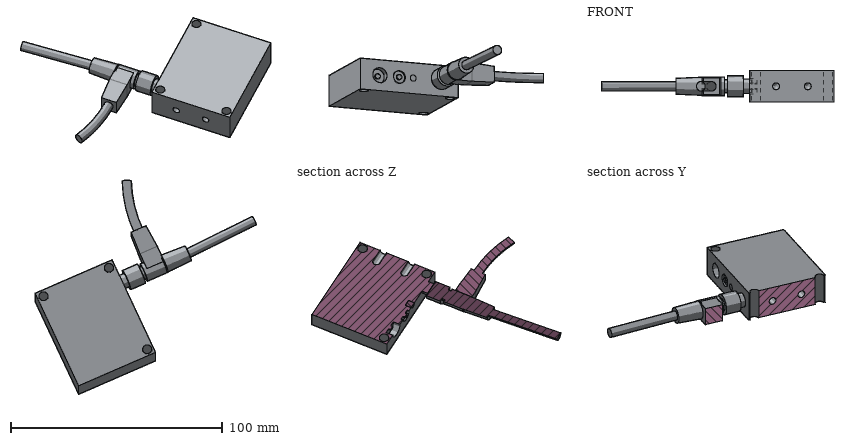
import cadquery as cq
import math


length_x = 40.0
width_y = 50.0
height_z = 15.0
mid_z = height_z / 2

mount_hole_d = 4.3
mount_hole_inset = 3.0

tapped_hole_d = 3.3
tapped_hole_depth = 8.0
tapped_hole_first_x = 12.5
tapped_hole_pitch = 15.0
tapped_hole_count = 2
drill_point_angle = 118.0

port_pin_d = 2.5
port_pin_height = 1.0
large_port_y = width_y - 10.0
large_port_d = 7.2
large_port_depth = 3.5
small_port_y = large_port_y - 10.0
small_port_d = 6.0
small_port_depth = 1.0

lens_y = 23.0
lens_d = 3.0
lens_depth = 3.0

plug_y = 10.0
stub_d = 6.9
stub_end = 3.0
nut_d = 10.0
nut_end = 10.6
neck_d = 6.3
neck_end = 11.9
sleeve_d = 9.0
sleeve_end = 22.0
cone_large_d = 8.8
cone_small_d = 7.7
cone_end = 34.9

cable_d = 4.5
straight_cable_reach = 70.21
straight_cable_lean = 2.9

block_side = sleeve_d
block_far_end = 22.6
block_x = -(block_far_end - block_side / 2)
block_length = 8.0
taper_length = 11.6
taper_end_side = 7.7
angled_cable_shift = 5.0
angled_cable_drop = 24.61


def x_cylinder(diameter, start_x, end_x, y):
    """Cylinder along X at mid height, from start_x to end_x."""
    return cq.Workplane("YZ", origin=(start_x, y, mid_z)).circle(diameter / 2).extrude(end_x - start_x)


def drilled_hole(diameter, depth):
    """Drill shape pointing along +Z from the origin: a cylinder with a conical tip."""
    radius = diameter / 2
    tip = radius / math.tan(math.radians(drill_point_angle / 2))
    profile = cq.Workplane("XZ").polyline([(0, 0), (radius, 0), (radius, depth), (0, depth + tip)]).close()
    return profile.revolve(360, (0, 0, 0), (0, 1, 0))


def make_lens():
    return x_cylinder(lens_d, 0, lens_depth, lens_y)


def make_housing():
    body = cq.Workplane("XY").box(length_x, width_y, height_z, centered=False)

    near = mount_hole_inset
    corners = [(near, near), (near, width_y - near), (length_x - near, near)]
    body = body.cut(cq.Workplane("XY").pushPoints(corners).circle(mount_hole_d / 2).extrude(height_z))

    tap_drill = drilled_hole(tapped_hole_d, tapped_hole_depth).rotate((0, 0, 0), (1, 0, 0), -90)
    for index in range(tapped_hole_count):
        hole_x = tapped_hole_first_x + index * tapped_hole_pitch
        body = body.cut(tap_drill.translate((hole_x, 0, mid_z)))

    ports = [(large_port_y, large_port_d, large_port_depth), (small_port_y, small_port_d, small_port_depth)]
    for port_y, port_d, port_depth in ports:
        body = body.cut(x_cylinder(port_d, 0, port_depth, port_y))
        body = body.union(x_cylinder(port_pin_d, port_depth, port_depth - port_pin_height, port_y))

    body = body.cut(make_lens())
    return body.union(x_cylinder(stub_d, 0, -stub_end, plug_y))


def make_straight_plug():
    profile = [
        (-stub_end, 0),
        (-stub_end, nut_d / 2),
        (-nut_end, nut_d / 2),
        (-nut_end, neck_d / 2),
        (-neck_end, neck_d / 2),
        (-neck_end, sleeve_d / 2),
        (-sleeve_end, sleeve_d / 2),
        (-sleeve_end, cone_large_d / 2),
        (-cone_end, cone_small_d / 2),
        (-cone_end, 0),
    ]
    grip = cq.Workplane("XY", origin=(0, plug_y, mid_z)).polyline(profile).close()
    grip = grip.revolve(360, (0, 0, 0), (1, 0, 0))

    lean = math.radians(straight_cable_lean)
    run = straight_cable_reach - cone_end - cable_d / 2 * math.sin(lean)
    cable_length = run / math.cos(lean)
    cable_inset = cable_d / 2
    cable_direction = cq.Vector(-math.cos(lean), -math.sin(lean), 0)
    cable_start = cq.Vector(-cone_end, plug_y, mid_z) - cable_direction * cable_inset
    cable = cq.Solid.makeCylinder(cable_d / 2, cable_length + cable_inset, cable_start, cable_direction)
    return grip.union(cq.Workplane(cable))


def make_angled_plug(straight_plug):
    block_end_y = plug_y - block_length
    taper_end_y = block_end_y - taper_length

    block = cq.Workplane("XZ", origin=(block_x, plug_y, mid_z)).rect(block_side, block_side)
    block = block.extrude(block_length)
    back = x_cylinder(block_side, block_x - block_side / 2, block_x + block_side / 2, plug_y)

    taper = cq.Workplane("XZ", origin=(block_x, block_end_y, mid_z)).rect(block_side, block_side)
    taper = taper.workplane(offset=taper_length).rect(taper_end_side, taper_end_side).loft(ruled=True)

    bend_radius = (angled_cable_drop**2 + angled_cable_shift**2) / (2 * angled_cable_shift)
    half = math.atan2(angled_cable_shift, angled_cable_drop)
    middle = (-bend_radius * (1 - math.cos(half)), -bend_radius * math.sin(half))
    path = cq.Workplane("XY", origin=(block_x, taper_end_y, mid_z)).moveTo(0, 0)
    path = path.threePointArc(middle, (-angled_cable_shift, -angled_cable_drop))
    cable = cq.Workplane("XZ", origin=(block_x, taper_end_y, mid_z)).circle(cable_d / 2).sweep(path)

    return block.union(back).union(taper).union(cable).cut(straight_plug)


housing = make_housing()
lens = make_lens()
straight_plug = make_straight_plug()
angled_plug = make_angled_plug(straight_plug)

bodies = [housing, lens, straight_plug, angled_plug]
result = cq.Compound.makeCompound([body.solids().val() for body in bodies])